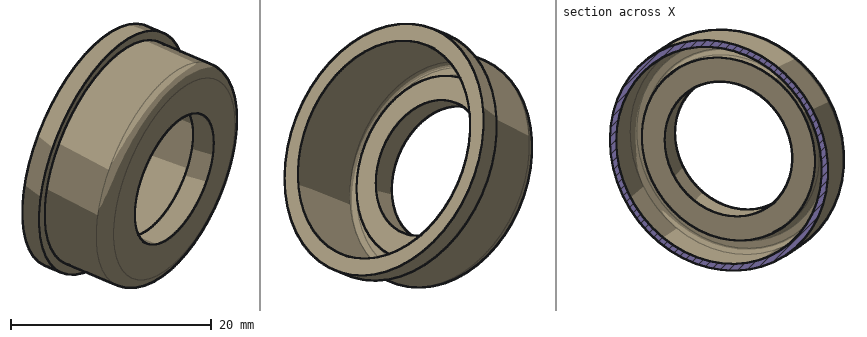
import cadquery as cq

length = 9.5
flange_diameter = 26.0
flange_thickness = 2.03
body_diameter = 24.0
body_edge_radius = 1.25
cup_diameter = 22.5
hub_diameter = 19.0
hole_diameter = 14.0
end_wall = 1.0
hub_face_x = 7.0
groove_fillet = 0.5

groove_floor_x = length - end_wall


def cylinder(diameter, start_x, end_x):
    """Solid cylinder along the X axis between two X positions."""
    return cq.Workplane("YZ").workplane(offset=start_x).circle(diameter / 2).extrude(end_x - start_x)


body = cylinder(body_diameter, 0, length).faces(">X").edges().fillet(body_edge_radius)
flange = cylinder(flange_diameter, 0, flange_thickness)

hub = cylinder(hub_diameter, hub_face_x, groove_floor_x)
hollow = cylinder(cup_diameter, 0, groove_floor_x).cut(hub)
hollow = hollow.faces(">X").edges().fillet(groove_fillet)

hole = cylinder(hole_diameter, 0, length)

result = body.union(flange).cut(hollow).cut(hole)